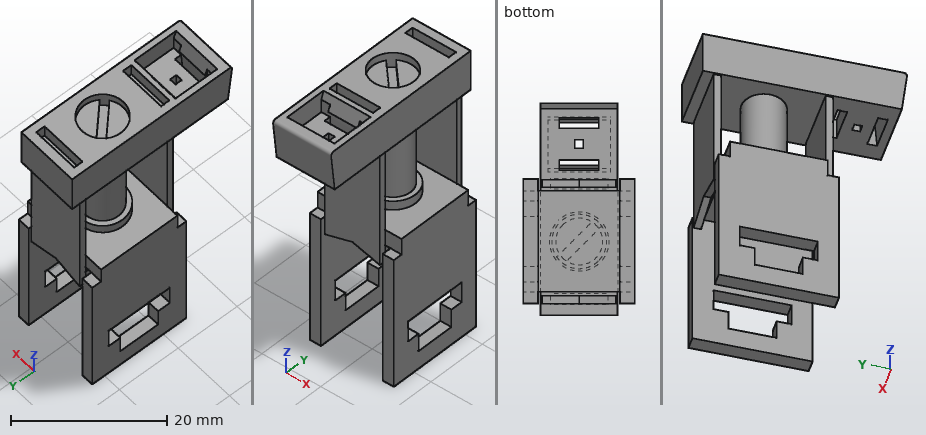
import cadquery as cq
import math


clamp_width = 14.3
leg_thickness = 1.9
leg_depth = 16.0
leg_height = 21.15
bridge_depth = 13.0
bridge_top = 23.75

window_bottom = 2.95
window_step = 5.85
window_top = 9.15
window_narrow = 6.4
window_wide = 10.4

screw_diameter = 6.0
collar_diameter = 7.6
collar_top = 25.2

cap_width = 9.9
cap_top = 43.9
cap_height = 6.5
cap_bottom = cap_top - cap_height
cap_back = 9.5
cap_front_bottom = -17.0
cap_front_lean = 0.75
cap_front_fillet = 0.5

head_diameter = 7.0
head_recess = 1.2
driver_slot_width = 1.27
driver_slot_depth = 1.2
driver_slot_angle = -45

cap_slot_length = 7.4
cap_slot_width = 1.4
cap_slot_depth = 2.0
cap_slot_centers = (7.35, -7.4)

pocket_width = 8.0
pocket_center = -12.45
pocket_top_length = 7.05
pocket_floor_length = 6.19
pocket_depth = 3.3
wall_slope_angle = 19.3
barb_width = 5.05
barb_tip_gap = 5.47
floor_slot_inner_gap = 4.1
floor_slot_undercut = 0.25
peg_hole_size = 1.05

plate_width = 9.4
plate_thickness = 1.0
plate_centers = (7.5, -7.4)
plate_tip = 18.9
plate_notch_top = 20.2


def block(width, depth, bottom, top, x=0.0, y=0.0):
    """Upright box centred on (x, y) between two heights."""
    box = cq.Workplane("XY").box(width, depth, top - bottom, centered=(True, True, False))
    return box.translate((x, y, bottom))


def cylinder(diameter, bottom, top):
    """Upright cylinder on the screw axis between two heights."""
    return cq.Workplane("XY").workplane(offset=bottom).circle(diameter / 2).extrude(top - bottom)


def extrude_along_x(points, width):
    """Extrude a closed (Y, Z) outline symmetrically about X = 0."""
    return cq.Workplane("YZ").polyline(points).close().extrude(width / 2, both=True)


def make_clamp():
    clamp = block(clamp_width, bridge_depth, leg_height, bridge_top)
    leg_x = (clamp_width - leg_thickness) / 2
    for side in (-1, 1):
        clamp = clamp.union(block(leg_thickness, leg_depth, 0, leg_height, x=side * leg_x))
    clamp = clamp.cut(block(clamp_width, window_narrow, window_bottom, window_step))
    return clamp.cut(block(clamp_width, window_wide, window_step, window_top))


def make_screw():
    collar = cylinder(collar_diameter, bridge_top, collar_top)
    return collar.union(cylinder(screw_diameter, collar_top, cap_bottom))


def make_cap_body():
    """Solid cap with a front face leaning outward toward a rounded top edge."""
    outline = [
        (cap_back, cap_bottom),
        (cap_back, cap_top),
        (cap_front_bottom - cap_front_lean, cap_top),
        (cap_front_bottom, cap_bottom),
    ]
    body = extrude_along_x(outline, cap_width)
    return body.edges("|X").edges(">Z").edges("<Y").fillet(cap_front_fillet)


def make_head_recess():
    face = cap_top - head_recess
    slot_bottom = face - driver_slot_depth
    slot = block(head_diameter, driver_slot_width, slot_bottom, face)
    slot = slot.rotate((0, 0, 0), (0, 0, 1), driver_slot_angle)
    slot = slot.intersect(cylinder(head_diameter, slot_bottom, face))
    return cylinder(head_diameter, face, cap_top).union(slot)


def make_barb():
    """Front snap barb: the wall slope carried past the straight wall, with a flat underside."""
    slope = math.tan(math.radians(wall_slope_angle))
    wall_y = pocket_center - pocket_floor_length / 2
    tip_y = pocket_center - barb_tip_gap / 2
    root_z = cap_top - (pocket_top_length - pocket_floor_length) / 2 / slope
    tip_z = cap_top - (pocket_top_length - barb_tip_gap) / 2 / slope
    return extrude_along_x([(wall_y, root_z), (tip_y, tip_z), (wall_y, tip_z)], barb_width)


def make_floor_slot(floor):
    """Front floor slot, widening downward under the pocket wall."""
    outer_y = pocket_center - pocket_floor_length / 2
    inner_y = pocket_center - floor_slot_inner_gap / 2
    outline = [
        (outer_y, floor),
        (inner_y, floor),
        (inner_y, cap_bottom),
        (outer_y - floor_slot_undercut, cap_bottom),
    ]
    return extrude_along_x(outline, barb_width)


def mirror_in_pocket(front_shape):
    """Copy of a front-wall shape at the back wall of the pocket."""
    return front_shape.mirror("XZ", (0, pocket_center, 0))


def make_marker_pocket():
    floor = cap_top - pocket_depth
    half_top = pocket_top_length / 2
    half_floor = pocket_floor_length / 2
    slope_end = cap_top - (half_top - half_floor) / math.tan(math.radians(wall_slope_angle))
    outline = [
        (pocket_center - half_top, cap_top),
        (pocket_center + half_top, cap_top),
        (pocket_center + half_floor, slope_end),
        (pocket_center + half_floor, floor),
        (pocket_center - half_floor, floor),
        (pocket_center - half_floor, slope_end),
    ]
    pocket = extrude_along_x(outline, pocket_width)
    barb = make_barb()
    pocket = pocket.cut(barb).cut(mirror_in_pocket(barb))
    floor_slot = make_floor_slot(floor)
    pocket = pocket.union(floor_slot).union(mirror_in_pocket(floor_slot))
    return pocket.union(block(peg_hole_size, peg_hole_size, cap_bottom, floor, y=pocket_center))


def make_cap():
    cap = make_cap_body().cut(make_head_recess()).cut(make_marker_pocket())
    for y in cap_slot_centers:
        cap = cap.cut(block(cap_slot_length, cap_slot_width, cap_top - cap_slot_depth, cap_top, y=y))
    return cap


def make_guide_plate(y):
    outline = [
        (-plate_width / 2, cap_bottom),
        (-plate_width / 2, plate_tip),
        (0, plate_notch_top),
        (plate_width / 2, plate_tip),
        (plate_width / 2, cap_bottom),
    ]
    plate = cq.Workplane("XZ").polyline(outline).close().extrude(plate_thickness / 2, both=True)
    return plate.translate((0, y, 0))


result = make_clamp().union(make_screw()).union(make_cap())
for plate_y in plate_centers:
    result = result.union(make_guide_plate(plate_y))